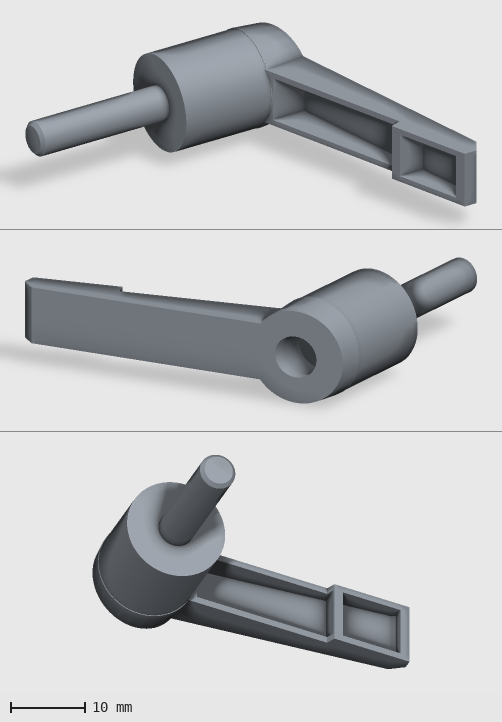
import cadquery as cq
import math


hub_radius = 6.9
hub_height = 13.55
stud_radius = 2.5
stud_length = 20.0
stud_chamfer = 0.5

cap_radius = 7.0
cap_rim_height = 0.2
cap_taper = 4.6
cap_hole_radius = 2.95
cap_hole_floor = hub_height

handle_width = 8.1
handle_right = 40.0
handle_peak_x = 37.95
handle_peak_y = 27.0
top_slope = math.tan(math.radians(12.8))
underside_slope = math.tan(math.radians(20))
tip_upper_y = 25.65
tip_lower_y = 23.85
handle_root_y = 11.05
step_x = 28.15

side_wall = 0.85
roof_thickness = 1.4
long_pocket_start = cap_radius
long_pocket_end = 28.05
tip_pocket_start = 29.45
tip_pocket_bevel_x = 37.98
tip_pocket_end = 38.55


def top_y(x):
    """Height of the sloping top face at x."""
    return handle_peak_y - (handle_peak_x - x) * top_slope


def roof_y(x):
    """Height of the pocket roof, which runs parallel to the top face."""
    return top_y(x) - roof_thickness


def extrude_outline(points, width):
    """Plate with an XY outline, centred on Z = 0."""
    return cq.Workplane("XY").polyline(points).close().extrude(width / 2, both=True)


def rod(radius, start_y, end_y):
    """Cylinder on the Y axis."""
    base = cq.Workplane("XZ", origin=(0, start_y, 0))
    return base.circle(radius).extrude(start_y - end_y)


def make_stud():
    return rod(stud_radius, 0, -stud_length).faces("<Y").chamfer(stud_chamfer)


def make_cap():
    """Short rim and cone frustum, cut off by the sloping top plane."""
    rim_bottom = hub_height - cap_rim_height
    blank_top = handle_peak_y
    top_radius = cap_radius - (blank_top - hub_height) * math.tan(math.radians(cap_taper))
    cone = (
        cq.Workplane("XY")
        .polyline([
                (0, rim_bottom),
                (cap_radius, rim_bottom),
                (cap_radius, hub_height),
                (top_radius, blank_top),
                (0, blank_top),
            ])
        .close()
        .revolve(360, (0, 0, 0), (0, 1, 0))
    )
    left = -2 * cap_radius
    right = 2 * cap_radius
    below_top = extrude_outline(
        [(left, 0), (right, 0), (right, top_y(right)), (left, top_y(left))],
        4 * cap_radius,
    )
    return cone.intersect(below_top)


def make_handle():
    step_y = tip_lower_y - (handle_right - step_x) * underside_slope
    step_rise = (handle_root_y + step_x * underside_slope - step_y) / (1 + underside_slope**2)
    return extrude_outline(
        [
            (0, handle_root_y),
            (step_x - step_rise * underside_slope, step_y + step_rise),
            (step_x, step_y),
            (handle_right, tip_lower_y),
            (handle_right, tip_upper_y),
            (handle_peak_x, handle_peak_y),
            (0, top_y(0)),
        ],
        handle_width,
    )


def make_pockets():
    pocket_width = handle_width - 2 * side_wall
    tip_bevel_slope = (handle_peak_y - tip_upper_y) / (handle_right - handle_peak_x)
    bevel_end_y = roof_y(tip_pocket_bevel_x) - (tip_pocket_end - tip_pocket_bevel_x) * tip_bevel_slope
    long_pocket = extrude_outline(
        [
            (long_pocket_start, 0),
            (long_pocket_end, 0),
            (long_pocket_end, roof_y(long_pocket_end)),
            (long_pocket_start, roof_y(long_pocket_start)),
        ],
        pocket_width,
    )
    tip_pocket = extrude_outline(
        [
            (tip_pocket_start, 0),
            (tip_pocket_end, 0),
            (tip_pocket_end, bevel_end_y),
            (tip_pocket_bevel_x, roof_y(tip_pocket_bevel_x)),
            (tip_pocket_start, roof_y(tip_pocket_start)),
        ],
        pocket_width,
    )
    return long_pocket.union(tip_pocket)


handle = make_handle().cut(make_pockets())
body = rod(hub_radius, 0, hub_height).union(make_cap()).union(make_stud()).union(handle)
cap_hole = rod(cap_hole_radius, cap_hole_floor, handle_peak_y)
result = body.cut(cap_hole)